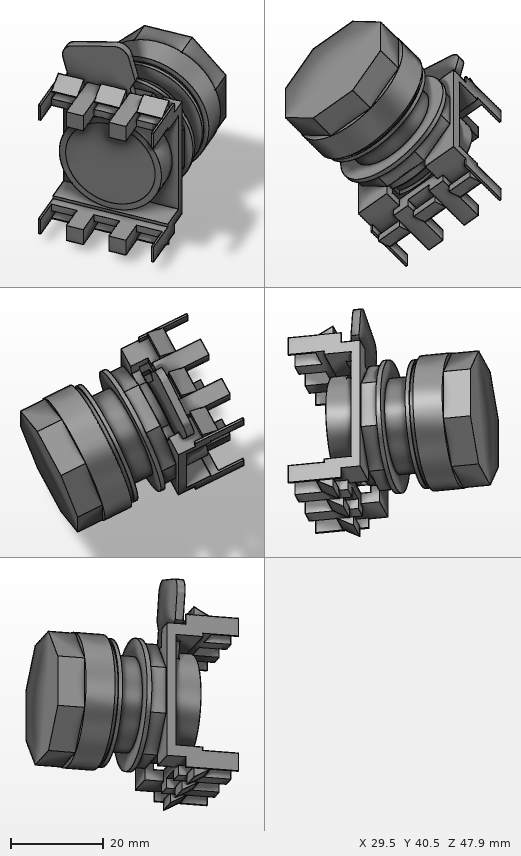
import cadquery as cq
import math


barrel_radius = 10.5
head_octagon_width = 27.0
head_octagon_length = 6.0
bezel_radius = 14.75
bezel_length = 6.5
shoulder_radius = 13.5
shoulder_length = 1.0
head_back_y = 24.5

gasket_radius = 14.0
gasket_thickness = 0.9
nut_width = 25.0
nut_thickness = 3.7
washer_radius = 14.5
washer_thickness = 1.05

bracket_width = 27.0
plate_thickness = 2.0
sleeve_radius = 12.0
sleeve_front = 8.0
flange_inner_z = 12.5
flange_outer_z = 15.0
arm_inner_z = 13.25
arm_outer_z = 17.25
arm_back = 4.2
arm_front = 16.0

prong_width = 4.0
prong_center_x = 5.0
cheek_thickness = 0.5
bay_base_front = 10.0
hook_back = 6.15
hook_bottom_z = 16.9
hook_toe_z = 17.1
hook_tip_z = 19.25

notch_floor_z = 11.0
collar_radius = 12.25
collar_front = 2.15
lever_slot_half_width = 8.5
lever_slot_side_angle = 7.5
lower_window_half_width = 5.43

lever_thickness = 1.8
lever_tilt = 15.0
lever_offset = 1.45
lever_neck_half_width = 6.22
lever_head_half_width = 8.0
lever_neck_top = 16.9
lever_head_bottom = 18.9
lever_top = 27.81
lever_corner_radius = 3.0

bezel_back_y = head_back_y - head_octagon_length
bezel_front_y = bezel_back_y - bezel_length
gasket_back_y = bezel_front_y - shoulder_length
gasket_front_y = gasket_back_y - gasket_thickness
half_width = bracket_width / 2
cheek_inner_x = half_width - cheek_thickness


def plane_at(y):
    """XZ plane at the given Y: local x is +X, local y is +Z, extrusion goes to -Y."""
    return cq.Workplane("XZ", origin=(0, y, 0))


def disc(radius, y_back, y_front):
    return plane_at(y_back).circle(radius).extrude(y_back - y_front)


def octagon(width, y_back, y_front):
    """Octagonal prism with flats facing X and Z."""
    half_side_angle = 180 / 8
    corner_diameter = width / math.cos(math.radians(half_side_angle))
    return (
        plane_at(y_back)
        .transformed(rotate=(0, 0, half_side_angle))
        .polygon(8, corner_diameter)
        .extrude(y_back - y_front)
    )


def block(x_range, y_range, z_range):
    lows, highs = zip(x_range, y_range, z_range)
    size = [high - low for low, high in zip(lows, highs)]
    return cq.Workplane("XY").box(*size, centered=False).translate(lows)


def make_operator():
    head = octagon(head_octagon_width, head_back_y, bezel_back_y)
    bezel = disc(bezel_radius, bezel_back_y, bezel_front_y)
    shoulder = disc(shoulder_radius, bezel_front_y, gasket_back_y)
    barrel = disc(barrel_radius, gasket_back_y, -sleeve_front)
    return head.union(bezel).union(shoulder).union(barrel)


def bored(blank):
    return blank.cut(disc(barrel_radius, head_back_y, -sleeve_front))


def make_gasket():
    return bored(disc(gasket_radius, gasket_back_y, gasket_front_y))


def make_washer():
    return bored(disc(washer_radius, nut_thickness + washer_thickness, nut_thickness))


def make_nut():
    return bored(octagon(nut_width, nut_thickness, 0))


def make_upper_arm():
    """Upper flange with its two prongs, two side cheeks and three snap hooks."""
    full_width = (-half_width, half_width)
    arm = block(full_width, (-sleeve_front, 0), (flange_inner_z, flange_outer_z))
    arm = arm.union(block(full_width, (-bay_base_front, -arm_back), (arm_inner_z, flange_outer_z)))

    half_prong = prong_width / 2
    solid_spans = [
        (-half_width, -cheek_inner_x),
        (-prong_center_x - half_prong, -prong_center_x + half_prong),
        (prong_center_x - half_prong, prong_center_x + half_prong),
        (cheek_inner_x, half_width),
    ]
    for span in solid_spans:
        arm = arm.union(block(span, (-arm_front, -arm_back), (arm_inner_z, arm_outer_z)))

    hook_profile = [
        (-hook_back, hook_bottom_z),
        (-hook_back, hook_tip_z),
        (-bay_base_front, hook_toe_z),
        (-bay_base_front, hook_bottom_z),
    ]
    for (_, bay_start), (bay_end, _) in zip(solid_spans, solid_spans[1:]):
        hook = (
            cq.Workplane("YZ", origin=(bay_start, 0, 0))
            .polyline(hook_profile)
            .close()
            .extrude(bay_end - bay_start)
        )
        arm = arm.union(hook)
    return arm


def slot_half_width(z):
    """Half width of the flared lever slot at height z."""
    flare = math.tan(math.radians(lever_slot_side_angle))
    return lever_slot_half_width + (z - notch_floor_z) * flare


def lever_slot(y_back, y_front, bottom_z):
    """Flared cutter that is open toward +Z."""
    bottom = slot_half_width(bottom_z)
    top = slot_half_width(arm_outer_z)
    return (
        plane_at(y_back)
        .polyline([(-bottom, bottom_z), (bottom, bottom_z), (top, arm_outer_z), (-top, arm_outer_z)])
        .close()
        .extrude(y_back - y_front)
    )


def lower_window(y_back, y_front, top_z):
    x_range = (-lower_window_half_width, lower_window_half_width)
    return block(x_range, (y_front, y_back), (-flange_outer_z, top_z))


def make_bracket():
    plate = block(
        (-half_width, half_width),
        (-plate_thickness, 0),
        (-flange_outer_z, flange_outer_z),
    )
    upper_arm = make_upper_arm()
    lower_arm = upper_arm.mirror("XY")
    sleeve = disc(sleeve_radius, 0, -sleeve_front)
    bracket = plate.union(upper_arm).union(lower_arm).union(sleeve)

    collar = disc(collar_radius, 0, -collar_front)
    bracket = bracket.cut(lever_slot(0, -collar_front, notch_floor_z).cut(collar))
    bracket = bracket.cut(lower_window(0, -collar_front, -notch_floor_z).cut(collar))

    bracket = bracket.cut(lever_slot(-collar_front, -arm_back, 0))
    bracket = bracket.cut(lower_window(-collar_front, -arm_back, 0))
    return bored(bracket)


def make_lever():
    """Flat lever resting on the barrel, leaning toward -X."""
    outline = [
        (lever_neck_half_width, 0),
        (lever_neck_half_width, lever_neck_top),
        (lever_head_half_width, lever_head_bottom),
        (lever_head_half_width, lever_top),
    ]
    mirrored = [(-x, z) for x, z in reversed(outline)]
    blade = (
        plane_at(lever_thickness - arm_back)
        .polyline(outline + mirrored)
        .close()
        .extrude(lever_thickness)
    )
    blade = blade.edges("|Y").edges(">Z").fillet(lever_corner_radius)
    blade = blade.translate((lever_offset, 0, 0))
    return bored(blade.rotate((0, 0, 0), (0, 1, 0), -lever_tilt))


operator = make_operator()
gasket = make_gasket()
washer = make_washer()
nut = make_nut()
bracket = make_bracket()
lever = make_lever()

bodies = [operator, gasket, washer, nut, bracket, lever]
result = cq.Compound.makeCompound([body.solids().val() for body in bodies])